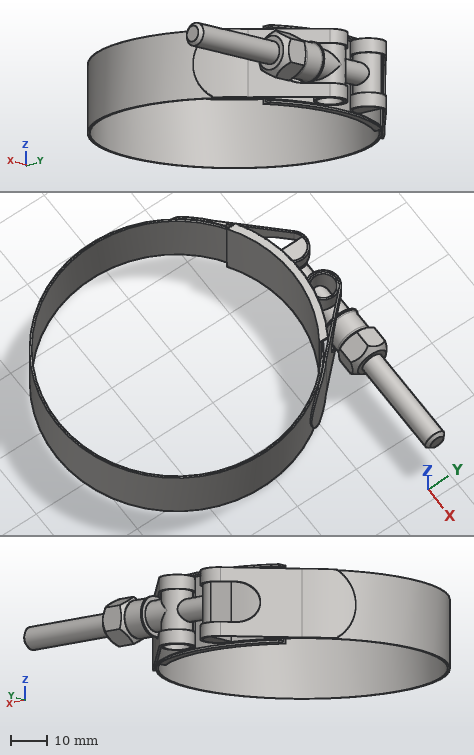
import cadquery as cq
import math

STRIP = 0.6
BAND_WIDTH = 19.4
RING_INNER_R = 40.0
RING_OUTER_R = RING_INNER_R + STRIP
TAB_GAP = 0.2
TAB_INNER_R = RING_OUTER_R + TAB_GAP
TAB_OUTER_R = TAB_INNER_R + STRIP
TAB_LOW_ANGLE = 26.0
BOLT_TAB_ROOT_ANGLE = 55.0
SLEEVE_TAB_ROOT_ANGLE = 50.0
TAB_TIP_Y = 19.8
TAB_SHOULDER_Y = 24.5

TRUNNION_R = 4.4
TRUNNION_X = 7.5
CURL_R = TRUNNION_R + STRIP
TRUNNION_DISTANCE = RING_OUTER_R + TRUNNION_R
TRUNNION_ANGLE = math.degrees(math.acos(TRUNNION_X / TRUNNION_DISTANCE))
AXIS_Y = math.sqrt(TRUNNION_DISTANCE**2 - TRUNNION_X**2)
TANGENT_ANGLE = TRUNNION_ANGLE - math.degrees(
    math.acos((RING_OUTER_R - TRUNNION_R) / TRUNNION_DISTANCE)
)

WINDOW_WIDTH = 11.4
WINDOW_TIP = 6.9
BOLT_WINDOW_REACH = 11.1
SLEEVE_WINDOW_REACH = 14.3
WINDOW_CLEARANCE = 0.3

SHEET = 0.6
BRIDGE_WIDTH = 22.0
BRIDGE_HALF_LENGTH = 21.9
BRIDGE_INNER_R = RING_INNER_R - SHEET
FLANGE_OUTER_R = 41.8

BOLT_R = 3.3
BOLT_END_X = 61.4
BOLT_CHAMFER = 1.0
HEAD_FLAT_X = -8.4

TRUNNION_BORE_R = 3.8
SLEEVE_R = 4.4
SLEEVE_END_X = 15.4

COLLAR_R = 5.4
COLLAR_END_X = 22.4
COLLAR_FILLET = 0.6
RIM_R = 5.7
RIM_THICKNESS = 0.5

NUT_FLATS = 11.6
NUT_END_X = 30.6
NUT_SEAT_R = 5.0
NUT_FACE_R = 4.8
NUT_SEAT_CHAMFER_ANGLE = 30.0


def at_polar(radius, angle, center=(0.0, 0.0)):
    """Point at a radius and an angle in degrees from a center."""
    turn = math.radians(angle)
    return (center[0] + radius * math.cos(turn), center[1] + radius * math.sin(turn))


def curved_strip(center, inner_r, outer_r, start, end, width):
    """Plate bent about a Z axis, from one angle to a larger one, centered on Z = 0."""
    middle = (start + end) / 2
    return (
        cq.Workplane("XY", origin=(0, 0, -width / 2))
        .moveTo(*at_polar(inner_r, start, center))
        .threePointArc(at_polar(inner_r, middle, center), at_polar(inner_r, end, center))
        .lineTo(*at_polar(outer_r, end, center))
        .threePointArc(at_polar(outer_r, middle, center), at_polar(outer_r, start, center))
        .close()
        .extrude(width)
    )


def along_bolt(start_x, radius, end_x):
    """Cylinder on the bolt axis."""
    return cq.Workplane("YZ", origin=(start_x, AXIS_Y, 0)).circle(radius).extrude(end_x - start_x)


def trunnion_rod(x, radius):
    """Upright cylinder as long as the band is wide, on the axis of a trunnion."""
    return (
        cq.Workplane("XY", origin=(x, AXIS_Y, -BAND_WIDTH / 2)).circle(radius).extrude(BAND_WIDTH)
    )


def make_band_end(root_angle, window_reach):
    """Curled and folded-back end of the band on the +X side."""
    center = (TRUNNION_X, AXIS_Y)
    curl = curved_strip(
        center, TRUNNION_R, CURL_R, TANGENT_ANGLE, TRUNNION_ANGLE + 180, BAND_WIDTH
    )
    join_angle = TANGENT_ANGLE + math.degrees(math.acos(RING_OUTER_R / TAB_INNER_R))
    straight = (
        cq.Workplane("XY", origin=(0, 0, -BAND_WIDTH / 2))
        .polyline(
            [
                at_polar(TRUNNION_R, TANGENT_ANGLE, center),
                at_polar(CURL_R, TANGENT_ANGLE, center),
                at_polar(TAB_OUTER_R, join_angle),
                at_polar(TAB_INNER_R, join_angle),
            ]
        )
        .close()
        .extrude(BAND_WIDTH)
    )
    tab = curved_strip(
        (0, 0), TAB_INNER_R, TAB_OUTER_R, TAB_LOW_ANGLE, root_angle, BAND_WIDTH
    )
    return curl.union(straight).union(tab.cut(tab_trim())).cut(window(window_reach))


def tab_trim():
    """Tool that rounds the tip of a folded-back end, seen along X."""
    half = BAND_WIDTH / 2
    return (
        cq.Workplane("YZ")
        .moveTo(TAB_SHOULDER_Y, -half)
        .threePointArc((TAB_TIP_Y, 0), (TAB_SHOULDER_Y, half))
        .lineTo(0, half)
        .lineTo(0, -half)
        .close()
        .extrude(RING_OUTER_R + CURL_R)
    )


def window(reach):
    """Tool for a round-ended window through a straight strip and around its curl."""
    center = (TRUNNION_X, AXIS_Y)
    plane = cq.Plane(
        origin=(*center, 0),
        xDir=(*at_polar(1, TANGENT_ANGLE - 90), 0),
        normal=(*at_polar(1, TANGENT_ANGLE), 0),
    )
    side_length = reach - WINDOW_TIP
    sides = (
        cq.Workplane(plane)
        .rect(side_length, WINDOW_WIDTH, centered=(False, True))
        .extrude(2 * CURL_R)
    )
    tip = (
        cq.Workplane(plane)
        .center(side_length, 0)
        .ellipse(WINDOW_TIP, WINDOW_WIDTH / 2)
        .extrude(2 * CURL_R)
    )
    bottom = AXIS_Y - BOLT_R - WINDOW_CLEARANCE
    around_curl = (
        cq.Workplane("XY", origin=(TRUNNION_X, bottom, 0))
        .box(2 * CURL_R, 2 * CURL_R, WINDOW_WIDTH, centered=(True, False, True))
        .intersect(trunnion_rod(TRUNNION_X, CURL_R))
    )
    return sides.union(tip).union(around_curl)


def make_band():
    """Open ring with both of its ends curled and folded back."""
    ring = curved_strip(
        (0, 0), RING_INNER_R, RING_OUTER_R, 180 - TRUNNION_ANGLE, 360 + TRUNNION_ANGLE, BAND_WIDTH
    )
    bolt_end = make_band_end(BOLT_TAB_ROOT_ANGLE, BOLT_WINDOW_REACH).mirror("YZ")
    sleeve_end = make_band_end(SLEEVE_TAB_ROOT_ANGLE, SLEEVE_WINDOW_REACH)
    return ring.union(bolt_end).union(sleeve_end)


def make_bridge():
    """Bent channel that carries the ring's ends between two outward flanges."""
    half_angle = math.degrees(math.asin(BRIDGE_HALF_LENGTH / (BRIDGE_INNER_R - SHEET)))
    span = (90 - half_angle, 90 + half_angle)
    solid = curved_strip((0, 0), BRIDGE_INNER_R, FLANGE_OUTER_R, *span, BRIDGE_WIDTH)
    channel = curved_strip(
        (0, 0), RING_INNER_R, FLANGE_OUTER_R + SHEET, *span, BRIDGE_WIDTH - 2 * SHEET
    )
    ends = cq.Workplane("XY").box(2 * BRIDGE_HALF_LENGTH, 2 * FLANGE_OUTER_R, BRIDGE_WIDTH)
    return solid.cut(channel).intersect(ends)


def make_t_bolt():
    """Bolt with a D-shaped trunnion for a head."""
    shank = along_bolt(-TRUNNION_X, BOLT_R, BOLT_END_X).faces(">X").chamfer(BOLT_CHAMFER)
    behind_flat = cq.Workplane("XY", origin=(HEAD_FLAT_X, AXIS_Y, 0)).box(
        2 * TRUNNION_R, 2 * TRUNNION_R, BAND_WIDTH, centered=(False, True, True)
    )
    head = trunnion_rod(-TRUNNION_X, TRUNNION_R).intersect(behind_flat)
    return head.union(shank)


def make_sleeve():
    """Tubular trunnion with a side tube around the bolt."""
    outside = trunnion_rod(TRUNNION_X, TRUNNION_R).union(
        along_bolt(TRUNNION_X, SLEEVE_R, SLEEVE_END_X)
    )
    bolt_hole = along_bolt(TRUNNION_X - TRUNNION_R, BOLT_R, SLEEVE_END_X)
    return outside.cut(trunnion_rod(TRUNNION_X, TRUNNION_BORE_R)).cut(bolt_hole)


def make_collar():
    """Turned collar: a thin rim, blended into a barrel with a rounded far edge."""
    rim_x = SLEEVE_END_X + RIM_THICKNESS
    blend = RIM_R - COLLAR_R
    return (
        cq.Workplane("XY", origin=(0, AXIS_Y, 0))
        .moveTo(SLEEVE_END_X, BOLT_R)
        .lineTo(SLEEVE_END_X, RIM_R)
        .lineTo(rim_x, RIM_R)
        .radiusArc((rim_x + blend, COLLAR_R), -blend)
        .lineTo(COLLAR_END_X - COLLAR_FILLET, COLLAR_R)
        .radiusArc((COLLAR_END_X, COLLAR_R - COLLAR_FILLET), COLLAR_FILLET)
        .lineTo(COLLAR_END_X, BOLT_R)
        .close()
        .revolve(360, (0, 0, 0), (1, 0, 0))
    )


def make_nut():
    """Hexagon with flats facing +Y and -Y, chamfered by a cone at each end."""
    corner_r = NUT_FLATS / math.sqrt(3)
    hexagon = (
        cq.Workplane("YZ", origin=(COLLAR_END_X, AXIS_Y, 0))
        .polygon(6, 2 * corner_r)
        .extrude(NUT_END_X - COLLAR_END_X)
        .rotate((0, AXIS_Y, 0), (1, AXIS_Y, 0), 90)
    )
    seat_depth = (corner_r - NUT_SEAT_R) * math.tan(math.radians(NUT_SEAT_CHAMFER_ANGLE))
    face_depth = corner_r - NUT_FACE_R
    envelope = (
        cq.Workplane("XY", origin=(0, AXIS_Y, 0))
        .polyline(
            [
                (COLLAR_END_X, BOLT_R),
                (COLLAR_END_X, NUT_SEAT_R),
                (COLLAR_END_X + seat_depth, corner_r),
                (NUT_END_X - face_depth, corner_r),
                (NUT_END_X, NUT_FACE_R),
                (NUT_END_X, BOLT_R),
            ]
        )
        .close()
        .revolve(360, (0, 0, 0), (1, 0, 0))
    )
    return hexagon.intersect(envelope)


band = make_band()
bridge = make_bridge()
t_bolt = make_t_bolt()
sleeve = make_sleeve()
collar = make_collar()
nut = make_nut()

bodies = [band, bridge, t_bolt, sleeve, collar, nut]
result = cq.Compound.makeCompound([body.solids().val() for body in bodies])